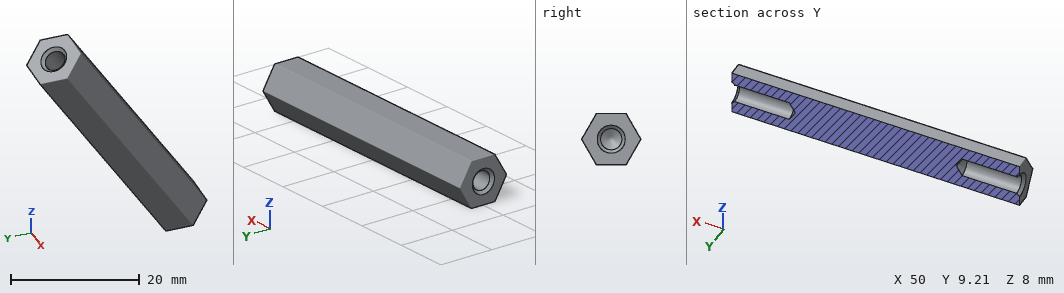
import cadquery as cq
import math

length = 50.0
across_flats = 8.0
edge_radius = 0.1

hole_diameter = 3.3
mouth_diameter = 4.35
hole_depth = 10.0
countersink_angle = 90.0
drill_point_angle = 118.0


def cone_height(radial_change, full_angle):
    return radial_change / math.tan(math.radians(full_angle / 2))


def hexagonal_bar():
    across_corners = across_flats / math.cos(math.pi / 6)
    bar = cq.Workplane("YZ").polygon(6, across_corners).extrude(length)
    return bar.edges("|X").fillet(edge_radius).faces("<X or >X").edges().fillet(edge_radius)


def drilled_hole():
    """Countersunk hole with a drill point, entering at X = 0 towards +X."""
    hole_radius = hole_diameter / 2
    mouth_radius = mouth_diameter / 2
    countersink_depth = cone_height(mouth_radius - hole_radius, countersink_angle)
    tip_depth = hole_depth + cone_height(hole_radius, drill_point_angle)
    half_profile = (
        cq.Workplane("XY")
        .moveTo(0, 0)
        .lineTo(0, mouth_radius)
        .lineTo(countersink_depth, hole_radius)
        .lineTo(hole_depth, hole_radius)
        .lineTo(tip_depth, 0)
        .close()
    )
    return half_profile.revolve(360, (0, 0, 0), (1, 0, 0))


near_hole = drilled_hole()
far_hole = near_hole.mirror("YZ").translate((length, 0, 0))

result = hexagonal_bar().cut(near_hole).cut(far_hole)